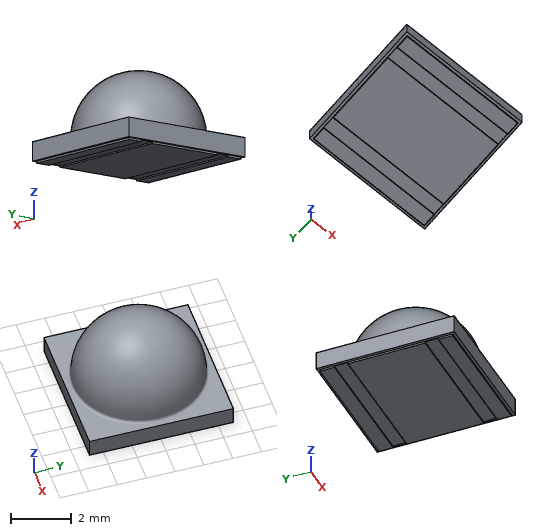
import cadquery as cq
import math

base_side = 5.0
base_thickness = 0.66

mask_thickness = 0.02
pad_thickness = 0.05
mask_edge_margin = 0.1
mask_side = base_side - 2 * mask_edge_margin
pad_length = mask_side
electrode_pad_width = 0.52
thermal_pad_width = 2.8

overall_height = 3.02
base_bottom = pad_thickness + mask_thickness
base_top = base_bottom + base_thickness
lens_radius = 2.26
lens_center_z = overall_height - lens_radius
foot_fillet_radius = 0.1


def make_base():
    return (
        cq.Workplane("XY")
        .workplane(offset=base_bottom)
        .rect(base_side, base_side)
        .extrude(base_thickness)
    )


def make_mask():
    return (
        cq.Workplane("XY")
        .workplane(offset=pad_thickness)
        .rect(mask_side, mask_side)
        .extrude(mask_thickness)
    )


def make_pad(center_y, width):
    return cq.Workplane("XY").center(0, center_y).rect(pad_length, width).extrude(pad_thickness)


def make_lens():
    fillet_center_z = base_top + foot_fillet_radius
    center_distance = lens_radius + foot_fillet_radius
    center_rise = fillet_center_z - lens_center_z
    foot_radius = math.sqrt(center_distance**2 - center_rise**2)

    tangent_angle = math.asin(center_rise / center_distance)

    def on_sphere(angle):
        return (lens_radius * math.cos(angle), lens_center_z + lens_radius * math.sin(angle))

    fillet_mid_angle = (3 * math.pi / 2 + math.pi + tangent_angle) / 2
    fillet_mid = (
        foot_radius + foot_fillet_radius * math.cos(fillet_mid_angle),
        fillet_center_z + foot_fillet_radius * math.sin(fillet_mid_angle),
    )
    sphere_mid = on_sphere((tangent_angle + math.pi / 2) / 2)

    return (
        cq.Workplane("XZ")
        .moveTo(0, base_top)
        .lineTo(foot_radius, base_top)
        .threePointArc(fillet_mid, on_sphere(tangent_angle))
        .threePointArc(sphere_mid, (0, overall_height))
        .close()
        .revolve(360, (0, 0), (0, 1))
    )


electrode_pad_y = (mask_side - electrode_pad_width) / 2

result = make_base().union(make_lens()).union(make_mask()).union(make_pad(0, thermal_pad_width))
for side in (-1, 1):
    result = result.union(make_pad(side * electrode_pad_y, electrode_pad_width))